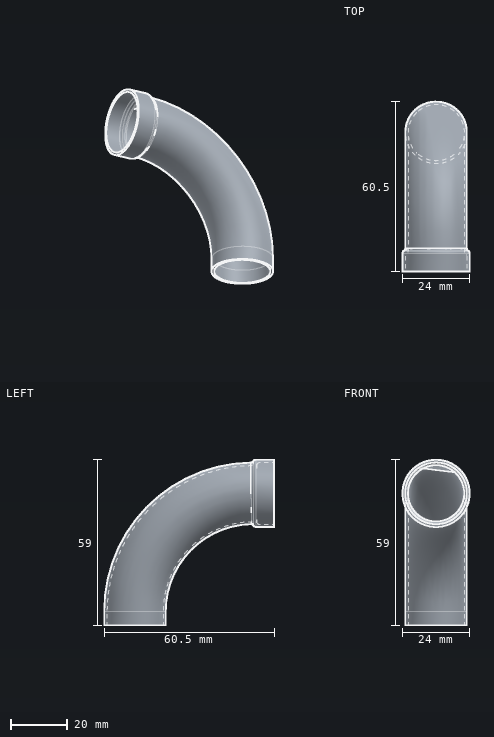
import cadquery as cq
import math

pipe_radius = 11.0
wall = 1.0
bend_radius = 42.0
spigot_length = 5.0
socket_length = 7.5
blend_radius = 1.0
outer_blend_offset = 0.1
bore_lead = 0.5

bore_radius = pipe_radius - wall
step = wall
axis_height = spigot_length + bend_radius
blend_length = math.sqrt(blend_radius**2 - (blend_radius - step / 2) ** 2)
blend_half_angle = math.asin(blend_length / blend_radius) / 2
arc_mid_run = blend_radius * math.sin(blend_half_angle)
arc_mid_rise = blend_radius * (1 - math.cos(blend_half_angle))


def bent_rod(radius):
    """Straight end and quarter bend of a solid rod; its base is centred on the origin."""
    straight = cq.Workplane("XY").circle(radius).extrude(spigot_length)
    bend = (
        cq.Workplane("XY", origin=(0, 0, spigot_length))
        .circle(radius)
        .revolve(90, (0, -bend_radius, 0), (1, -bend_radius, 0))
    )
    return straight.union(bend)


def socket_plug(radius, blend_middle):
    """Solid of revolution that widens from the given radius by one step in an S-curve.

    The profile is drawn in the YZ plane as (position, distance from the pipe axis).
    Positions run along Y from the end of the bend: positive into the bend, negative to the mouth.
    The S-curve is centred on blend_middle.
    """
    wide = radius + step
    blend_start = blend_middle + blend_length
    blend_end = blend_middle - blend_length
    profile = (
        cq.Workplane("YZ", origin=(0, -bend_radius, axis_height))
        .moveTo(blend_start, 0)
        .lineTo(blend_start, radius)
        .threePointArc((blend_start - arc_mid_run, radius + arc_mid_rise), (blend_middle, radius + step / 2))
        .threePointArc((blend_end + arc_mid_run, wide - arc_mid_rise), (blend_end, wide))
        .lineTo(-socket_length, wide)
        .lineTo(-socket_length, 0)
        .close()
    )
    return profile.revolve(360, (0, 0, 0), (1, 0, 0))


outside = bent_rod(pipe_radius).union(socket_plug(pipe_radius, -outer_blend_offset))

inner_blend_offset = bore_lead + blend_length
bore = (
    bent_rod(bore_radius)
    .faces("<Y")
    .workplane(centerOption="CenterOfMass")
    .circle(bore_radius)
    .extrude(bore_lead)
)
inside = bore.union(socket_plug(bore_radius, -inner_blend_offset))

result = outside.cut(inside)